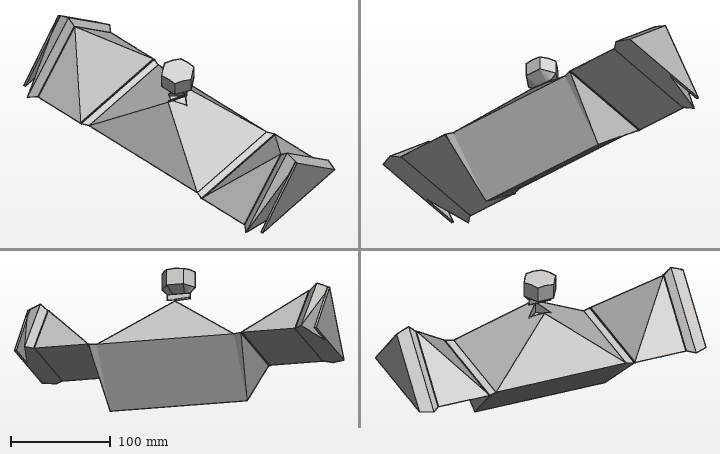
import cadquery as cq
import math

half_length = 156.0

trunk_radius = 54.0
trunk_half_length = 70.8
sleeve_radius = 57.0
sleeve_start = 78.8
sleeve_end = 134.5
ridge_near_reach = 15.0
ridge_far_reach = 12.0
ridge_height = math.sqrt(trunk_radius**2 - ridge_near_reach**2)
seam_thickness = 0.5
seam_half_length = 1.0
port_half_length = 11.9
port_half_width = 11.0
port_floor = 40.0

cap_rim_radius = 128.55 / 2
cap_rim_x = 142.8
cap_face_radius = 58.6
cap_land_length = 0.8
plate_thickness = 2.2

plug_top = 86.3
head_bottom = 69.3
head_across_flats = 30.0
head_across_corners = head_across_flats / math.cos(math.pi / 6)
head_chamfer_drop = 1.0
shoulder_bottom = 63.7
blade_bottom = 57.8
blade_half_width = 11.9
blade_thickness = 0.5
stay_height = 1.8


def triangle_wire(x, radius, point_direction):
    """Triangle across the X axis: base on Z = 0, point up (1) or down (-1)."""
    corners = [(x, radius, 0), (x, 0, point_direction * radius), (x, -radius, 0)]
    return cq.Wire.makePolygon([cq.Vector(*corner) for corner in corners], close=True)


def triangle_length(x_start, radius_start, x_end, radius_end, point_direction=1):
    """Straight-sided length of pipe between two triangular sections."""
    wires = [
        triangle_wire(x_start, radius_start, point_direction),
        triangle_wire(x_end, radius_end, point_direction),
    ]
    return cq.Workplane(obj=cq.Solid.makeLoft(wires, True))


def side_profile(points, half_width):
    """Profile in X and Z, extruded to both sides of Y = 0."""
    return cq.Workplane("XZ").polyline(points).close().extrude(half_width, both=True)


def mirrored_in_x(body):
    return body.mirror("YZ")


def make_roof():
    """Hipped top of the trunk, rising to a short ridge along Y, with a blind port under the plug."""
    hips = side_profile(
        [(-trunk_half_length, 0), (0, ridge_height), (trunk_half_length, 0)],
        trunk_radius,
    )
    gable = (
        cq.Workplane("YZ")
        .polyline(
            [
                (-trunk_radius, 0),
                (-ridge_near_reach, ridge_height),
                (ridge_far_reach, ridge_height),
                (trunk_radius, 0),
            ]
        )
        .close()
        .extrude(trunk_half_length, both=True)
    )
    port = (
        cq.Workplane("XY", origin=(0, 0, port_floor))
        .polyline(
            [
                (-port_half_length, 0),
                (0, -port_half_width),
                (port_half_length, 0),
                (0, port_half_width),
            ]
        )
        .close()
        .extrude(ridge_height - port_floor)
    )
    return hips.intersect(gable).cut(port)


def make_keel():
    """V-shaped lower half of the trunk with flared, sloping ends."""
    trunk = triangle_length(-trunk_half_length, trunk_radius, trunk_half_length, trunk_radius, -1)
    flare = triangle_length(trunk_half_length, trunk_radius, sleeve_start, sleeve_radius, -1)
    sloping_ends = side_profile(
        [
            (-sleeve_start, 0),
            (-trunk_half_length, -trunk_radius),
            (trunk_half_length, -trunk_radius),
            (sleeve_start, 0),
        ],
        sleeve_radius,
    )
    return trunk.union(flare).union(mirrored_in_x(flare)).intersect(sloping_ends)


def make_sleeve():
    """Upper half of the +X sleeve, sloping down from the cap to the seam with the flare."""
    length = triangle_length(sleeve_start, sleeve_radius, sleeve_end, sleeve_radius)
    slope = side_profile(
        [(sleeve_start, 0), (sleeve_end, sleeve_radius), (sleeve_end, 0)],
        sleeve_radius,
    )
    seam = cq.Workplane("XY", origin=(sleeve_start, 0, -seam_thickness / 2)).box(
        2 * seam_half_length, 2 * sleeve_radius, seam_thickness
    )
    return length.intersect(slope).union(seam)


def make_pipe():
    sleeve = make_sleeve()
    return make_roof().union(make_keel()).union(sleeve).union(mirrored_in_x(sleeve))


def make_cap():
    """+X end cap: a ring widest at its rim, closed by an end plate and notched on the -Y side."""
    land_end = sleeve_end + cap_land_length
    land = triangle_length(sleeve_end, sleeve_radius, land_end, sleeve_radius)
    inner_cone = triangle_length(land_end, sleeve_radius, cap_rim_x, cap_rim_radius)
    outer_cone = triangle_length(cap_rim_x, cap_rim_radius, half_length, cap_face_radius)
    plate_inside = half_length - plate_thickness
    notch_slope = cap_rim_radius / (half_length - cap_rim_x)
    notch = (
        cq.Workplane("XY")
        .polyline(
            [
                (cap_rim_x, -cap_rim_radius),
                (plate_inside, -plate_thickness * notch_slope),
                (plate_inside, -cap_rim_radius),
            ]
        )
        .close()
        .extrude(cap_rim_radius)
    )
    plate_trim = (
        cq.Workplane("YZ", origin=(plate_inside, 0, 0))
        .polyline(
            [
                (-trunk_radius, 0),
                (0, cap_face_radius),
                (-cap_rim_radius, cap_face_radius),
                (-cap_rim_radius, 0),
            ]
        )
        .close()
        .extrude(plate_thickness)
    )
    return land.union(inner_cone).union(outer_cone).cut(notch).cut(plate_trim)


def make_plug_head():
    """Hexagon head whose top corners are bevelled down from the middles of the flats."""
    head = (
        cq.Workplane("XY", origin=(0, 0, head_bottom))
        .polygon(6, head_across_corners)
        .extrude(plug_top - head_bottom)
    )
    bevel_run = head_across_corners / 2 - head_across_flats / 2 * math.cos(math.pi / 6)
    bevel_angle = math.degrees(math.atan2(bevel_run, head_chamfer_drop))
    bevels = (
        cq.Workplane("XY", origin=(0, 0, plug_top))
        .transformed(rotate=(0, 0, 30))
        .polygon(6, head_across_flats)
        .extrude(head_bottom - plug_top, taper=-bevel_angle)
    )
    return head.intersect(bevels)


def hexagon_wire(z, half_length, half_width):
    """Hexagon with corners on the X axis and two sides parallel to it."""
    corners = [
        (half_length, 0, z),
        (half_length / 2, half_width, z),
        (-half_length / 2, half_width, z),
        (-half_length, 0, z),
        (-half_length / 2, -half_width, z),
        (half_length / 2, -half_width, z),
    ]
    return cq.Wire.makePolygon([cq.Vector(*corner) for corner in corners], close=True)


def make_plug_shoulder():
    """Tapers from the full hexagon of the head to the flat blade."""
    wires = [
        hexagon_wire(shoulder_bottom, blade_half_width, blade_thickness / 2),
        hexagon_wire(head_bottom, head_across_corners / 2, head_across_flats / 2),
    ]
    return cq.Workplane(obj=cq.Solid.makeLoft(wires, True))


def make_plug_blade():
    height = shoulder_bottom - blade_bottom
    return cq.Workplane("XY", origin=(0, 0, blade_bottom)).box(
        2 * blade_half_width, blade_thickness, height, centered=(True, True, False)
    )


def make_plug_stay():
    """Sloping strip from the lower +X corner of the blade to the -Y end of the ridge."""
    run = math.hypot(blade_half_width, ridge_near_reach)
    stay_plane = cq.Plane(
        origin=(0, -ridge_near_reach, 0),
        xDir=(blade_half_width, ridge_near_reach, 0),
        normal=(ridge_near_reach, -blade_half_width, 0),
    )
    return (
        cq.Workplane(stay_plane)
        .polyline(
            [
                (0, ridge_height),
                (0, ridge_height + stay_height),
                (run, blade_bottom + stay_height),
                (run, blade_bottom),
            ]
        )
        .close()
        .extrude(blade_thickness / 2, both=True)
    )


def make_plug():
    head = make_plug_head().union(make_plug_shoulder())
    return head.union(make_plug_blade()).union(make_plug_stay())


pipe = make_pipe()
right_cap = make_cap()
left_cap = mirrored_in_x(right_cap)
plug = make_plug()

bodies = [pipe, right_cap, left_cap, plug]
result = cq.Compound.makeCompound([body.solids().val() for body in bodies])